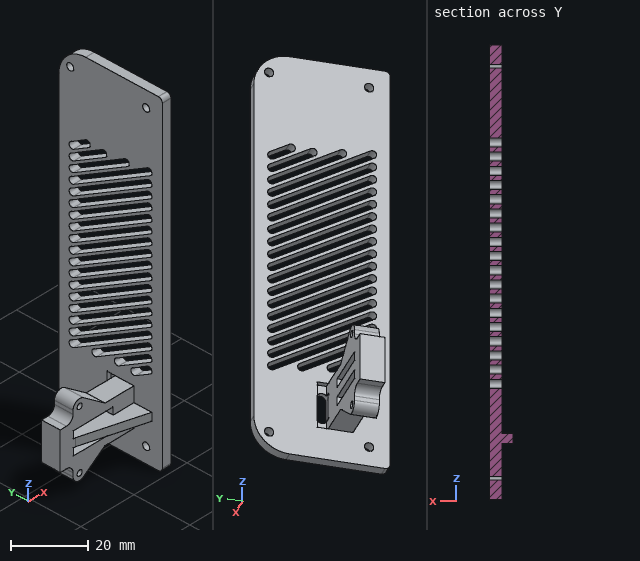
import cadquery as cq
import math

plate_height = 118.1
plate_width = 37.1
plate_thickness = 3.3
large_corner_radius = 9.7
small_corner_radius = 1.4

screw_radius = 1.24
screw_inset_z = 5.7
screw_pitch_y = 27.2
screw_center_y = 0.8

vent_count = 21
vent_pitch = 3.2
vent_angle = 30.0
vent_radius = 1.1
vent_half_run = 13.7
corner_vent_runs = [5.3, 11.2, 19.3]

arm_length = 27.8
arm_height = 13.5
arm_center_z = 16.0
arm_top_y = -1.7
arm_thickness = 6.7
arm_half_height = arm_height / 2

ear_x = -20.4
ear_offset_z = 10.5
ear_radius = 2.5
ear_hole_radius = 1.0
ear_root_fillet = 2.5
ear_slope_foot_x = -10.9

window_near_x = -7.8
window_far_x = -22.8
window_height = 7.9

rib_length = 22.1
rib_reach = 6.4
rib_thickness = 2.8

recess_edge_y = 1.3
recess_depth = plate_thickness / 2
cable_slot_length = 8.9
cable_slot_width = 3.0
cable_slot_y = -0.5


def make_plate():
    plate = (
        cq.Workplane("XY")
        .box(plate_thickness, plate_width, plate_height, centered=(False, True, False))
        .edges("|X and >Y")
        .fillet(large_corner_radius)
        .edges("|X and <Y")
        .fillet(small_corner_radius)
    )
    screw_points = []
    for side in (-1, 1):
        for z in (screw_inset_z, plate_height - screw_inset_z):
            screw_points.append((screw_center_y + side * screw_pitch_y / 2, z))
    screws = cq.Workplane("YZ").pushPoints(screw_points).circle(screw_radius).extrude(plate_thickness)
    return plate.cut(screws)


def vent_span(index):
    """Y of the two end centres of a slot; slots are counted from the top."""
    from_bottom = vent_count - 1 - index
    if index < len(corner_vent_runs):
        return vent_half_run - corner_vent_runs[index], vent_half_run
    if from_bottom < len(corner_vent_runs):
        return -vent_half_run, corner_vent_runs[from_bottom] - vent_half_run
    return -vent_half_run, vent_half_run


def make_vents():
    slope = math.tan(math.radians(vent_angle))
    pitch_z = vent_pitch / math.cos(math.radians(vent_angle))
    middle_index = (vent_count - 1) / 2
    vents = cq.Workplane("YZ")
    for index in range(vent_count):
        y_low, y_high = vent_span(index)
        y_middle = (y_low + y_high) / 2
        z_on_axis = plate_height / 2 + (middle_index - index) * pitch_z
        z_middle = z_on_axis - y_middle * slope
        center_distance = (y_high - y_low) / math.cos(math.radians(vent_angle))
        slot = (
            cq.Workplane("YZ", origin=(0, y_middle, z_middle))
            .slot2D(center_distance + 2 * vent_radius, 2 * vent_radius, -vent_angle)
            .extrude(plate_thickness)
        )
        vents = vents.add(slot)
    return vents.combine()


def cut_cable_opening(plate):
    recess = cq.Workplane("XY").box(
        recess_depth, recess_edge_y - arm_top_y, arm_height, centered=(False, False, True)
    ).translate((0, arm_top_y, arm_center_z))
    slot = (
        cq.Workplane("YZ", origin=(0, cable_slot_y, arm_center_z))
        .slot2D(cable_slot_length, cable_slot_width, 90)
        .extrude(plate_thickness)
    )
    return plate.cut(recess).cut(slot)


def arm_sketch_plane():
    """XZ plane on the +Y face of the arm; its local origin is on the arm axis at the plate."""
    return cq.Workplane("XZ", origin=(0, arm_top_y, arm_center_z))


def make_ear():
    """Upper ear: hollow root fillet, straight flank, round tip and a slanted side."""
    diagonal = math.sqrt(0.5)
    flank_x = ear_x - ear_radius
    root_center_x = flank_x - ear_root_fillet
    root_top_z = arm_half_height + ear_root_fillet
    root_middle = (
        root_center_x + ear_root_fillet * diagonal,
        root_top_z - ear_root_fillet * diagonal,
    )
    tip_middle = (ear_x - ear_radius * diagonal, ear_offset_z + ear_radius * diagonal)

    foot_dx = ear_slope_foot_x - ear_x
    foot_dz = arm_half_height - ear_offset_z
    tangent_angle = math.atan2(foot_dz, foot_dx) + math.acos(ear_radius / math.hypot(foot_dx, foot_dz))
    tangent_point = (
        ear_x + ear_radius * math.cos(tangent_angle),
        ear_offset_z + ear_radius * math.sin(tangent_angle),
    )
    return (
        arm_sketch_plane()
        .moveTo(root_center_x, 0)
        .lineTo(root_center_x, arm_half_height)
        .threePointArc(root_middle, (flank_x, root_top_z))
        .lineTo(flank_x, ear_offset_z)
        .threePointArc(tip_middle, tangent_point)
        .lineTo(ear_slope_foot_x, arm_half_height)
        .lineTo(ear_slope_foot_x, 0)
        .close()
        .extrude(arm_thickness)
    )


def make_arm():
    beam = (
        arm_sketch_plane()
        .center(-arm_length / 2, 0)
        .rect(arm_length, arm_height)
        .extrude(arm_thickness)
    )
    upper_ear = make_ear()
    lower_ear = upper_ear.mirror("XY", (0, 0, arm_center_z))
    window = (
        arm_sketch_plane()
        .center((window_near_x + window_far_x) / 2, 0)
        .rect(window_near_x - window_far_x, window_height)
        .extrude(arm_thickness)
    )
    ear_holes = (
        arm_sketch_plane()
        .pushPoints([(ear_x, ear_offset_z), (ear_x, -ear_offset_z)])
        .circle(ear_hole_radius)
        .extrude(arm_thickness)
    )
    return beam.union(upper_ear).union(lower_ear).cut(window).cut(ear_holes)


def make_window_web():
    """Bar along the middle of the window, as deep as the arm."""
    return (
        arm_sketch_plane()
        .center(window_far_x / 2, 0)
        .rect(-window_far_x, rib_thickness)
        .extrude(arm_thickness)
    )


def make_rib():
    arm_bottom_y = arm_top_y - arm_thickness
    return (
        cq.Workplane("XY", origin=(0, 0, arm_center_z - rib_thickness / 2))
        .moveTo(-rib_length, arm_bottom_y)
        .lineTo(0, arm_bottom_y)
        .lineTo(0, arm_bottom_y - rib_reach)
        .close()
        .extrude(rib_thickness)
    )


vented_plate = make_plate().cut(make_vents())
plate = cut_cable_opening(vented_plate)
arm = make_arm().union(make_window_web())
result = plate.union(arm).union(make_rib())